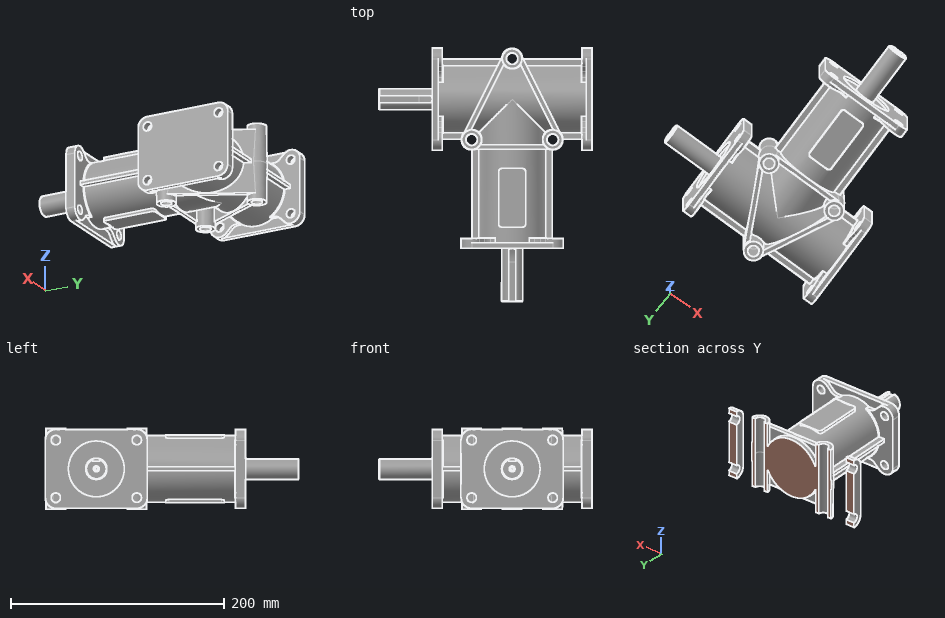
import cadquery as cq
import math


barrel_radius = 31.4
cross_reach = 75.0
leg_reach = 140.0
rib_half_width = 37.75
rib_thickness = 3.6

hole_half_width = 38.0
hole_half_height = 27.0
corner_radius = 10.0
flange_width = 2 * (hole_half_width + corner_radius)
flange_height = 2 * (hole_half_height + corner_radius)
flange_thickness = 9.5
relieved_thickness = 5.5
relief_fillet = 8.0
bolt_hole_diameter = 8.8
collar_radius = 32.0
collar_thickness = 10.2
cover_diameter = 52.4
cover_depth = 2.5

shaft_diameter = 20.0
shaft_length = 50.0
shaft_chamfer = 0.75
keyway_width = 6.5
keyway_depth = 3.0
keyway_length = 37.5
center_hole_diameter = 5.5
center_drill_diameter = 2.8
center_drill_depth = 6.0
center_cone_angle = 60.0

boss_offset = 38.0
boss_centers = [(0, boss_offset), (boss_offset, -boss_offset), (-boss_offset, -boss_offset)]
boss_height = 76.0
boss_end_radius = 9.2
boss_middle_radius = 9.7
boss_hole_diameter = 10.5
web_thickness = 4.6
web_height = 64.0

plate_width = 25.4
plate_length = 55.0
plate_center_y = -92.5
plate_height = 64.0
plate_corner_radius = 3.0

left_arm = cq.Plane(origin=(-cross_reach, 0, 0), xDir=(0, -1, 0), normal=(-1, 0, 0))
right_arm = cq.Plane(origin=(cross_reach, 0, 0), xDir=(0, 1, 0), normal=(1, 0, 0))
leg_arm = cq.Plane(origin=(0, -leg_reach, 0), xDir=(1, 0, 0), normal=(0, -1, 0))


def make_barrels():
    """Cross and leg barrels with flat ribs at mid height, ending at the relieved flange backs."""
    cross_length = 2 * (cross_reach - relieved_thickness)
    leg_length = leg_reach - relieved_thickness
    cross = cq.Workplane("YZ").circle(barrel_radius).extrude(cross_length / 2, both=True)
    leg = cq.Workplane("XZ").circle(barrel_radius).extrude(leg_length)
    cross_rib = cq.Workplane().box(cross_length, 2 * rib_half_width, rib_thickness)
    leg_rib = cq.Workplane().box(2 * rib_half_width, leg_length, rib_thickness)
    leg_rib = leg_rib.translate((0, -leg_length / 2, 0))
    return cross.union(leg).union(cross_rib).union(leg_rib)


def make_relief():
    """Cutter for the shallow area between the two upper bolt pads of a flange.

    From each pad's round the wall falls at 45 degrees and a fillet turns it level
    at the height of the bolt holes.
    """
    diagonal = math.sqrt(0.5)
    pad_x = hole_half_width - corner_radius * diagonal
    pad_y = hole_half_height + corner_radius * diagonal
    crown_x = hole_half_width - corner_radius * math.sin(math.pi / 8)
    crown_y = hole_half_height + corner_radius * math.cos(math.pi / 8)
    foot_x = pad_x - (pad_y - hole_half_height)
    top = flange_height / 2
    fillet_run = relief_fillet * math.tan(math.pi / 8)
    start_x = foot_x + fillet_run * diagonal
    start_y = hole_half_height + fillet_run * diagonal
    end_x = foot_x - fillet_run
    middle_x = end_x + relief_fillet * math.sin(math.pi / 8)
    middle_y = hole_half_height + relief_fillet * (1 - math.cos(math.pi / 8))
    return (
        cq.Workplane(origin=(0, 0, -collar_thickness))
        .moveTo(hole_half_width, top)
        .threePointArc((crown_x, crown_y), (pad_x, pad_y))
        .lineTo(start_x, start_y)
        .threePointArc((middle_x, middle_y), (end_x, hole_half_height))
        .lineTo(-end_x, hole_half_height)
        .threePointArc((-middle_x, middle_y), (-start_x, start_y))
        .lineTo(-pad_x, pad_y)
        .threePointArc((-crown_x, crown_y), (-hole_half_width, top))
        .close()
        .extrude(collar_thickness - relieved_thickness)
    )


def make_flange():
    """Flange with its outer face on local XY and the outward direction along +Z."""
    body = (
        cq.Workplane()
        .rect(flange_width, flange_height)
        .extrude(-flange_thickness)
        .edges("|Z")
        .fillet(corner_radius)
    )
    collar = cq.Workplane().circle(collar_radius).extrude(-collar_thickness)
    relief = make_relief()
    bolt_holes = (
        cq.Workplane()
        .rect(2 * hole_half_width, 2 * hole_half_height, forConstruction=True)
        .vertices()
        .circle(bolt_hole_diameter / 2)
        .extrude(-flange_thickness)
    )
    return body.union(collar).cut(relief).cut(relief.mirror("XZ")).cut(bolt_holes)


def make_keyway():
    """Keyway cutter whose floor curves up to the shaft surface at the flange face."""
    shaft_radius = shaft_diameter / 2
    floor = shaft_radius - keyway_depth
    runout_length = shaft_length - keyway_length
    runout_radius = (runout_length**2 + keyway_depth**2) / (2 * keyway_depth)
    half_sweep = math.asin(runout_length / runout_radius) / 2
    middle_z = runout_length - runout_radius * math.sin(half_sweep)
    middle_y = floor + runout_radius * (1 - math.cos(half_sweep))
    return (
        cq.Workplane("YZ")
        .moveTo(shaft_radius, 0)
        .threePointArc((middle_y, middle_z), (floor, runout_length))
        .lineTo(floor, shaft_length)
        .lineTo(shaft_radius, shaft_length)
        .close()
        .extrude(keyway_width / 2, both=True)
    )


def make_shaft():
    """Keyed shaft along local +Z, rooted at the bottom of the cover recess."""
    cone_step = (center_hole_diameter - center_drill_diameter) / 2
    cone_depth = cone_step / math.tan(math.radians(center_cone_angle / 2))
    center_hole = (
        cq.Workplane("XZ")
        .moveTo(0, shaft_length)
        .lineTo(center_hole_diameter / 2, shaft_length)
        .lineTo(center_drill_diameter / 2, shaft_length - cone_depth)
        .lineTo(center_drill_diameter / 2, shaft_length - center_drill_depth)
        .lineTo(0, shaft_length - center_drill_depth)
        .close()
        .revolve(360, (0, 0), (0, 1))
    )
    return (
        cq.Workplane(origin=(0, 0, -cover_depth))
        .circle(shaft_diameter / 2)
        .extrude(shaft_length + cover_depth)
        .faces(">Z")
        .chamfer(shaft_chamfer)
        .cut(make_keyway())
        .cut(center_hole)
    )


def make_boss(center):
    """Boss widest at mid height, tapering towards both ends."""
    x, y = center
    half_height = boss_height / 2
    return (
        cq.Workplane("XZ")
        .lineTo(boss_middle_radius, 0)
        .lineTo(boss_end_radius, half_height)
        .lineTo(0, half_height)
        .close()
        .revolve(360, (0, 0), (0, 1))
        .mirror("XY", union=True)
        .translate((x, y, 0))
    )


def make_web(start, end):
    """Upright web between two bosses, flush with their outer tangent."""
    run_x = end[0] - start[0]
    run_y = end[1] - start[1]
    length = math.hypot(run_x, run_y)
    outward_shift = boss_end_radius - web_thickness / 2
    return (
        cq.Workplane()
        .box(length, web_thickness, web_height)
        .translate((length / 2, outward_shift, 0))
        .rotate((0, 0, 0), (0, 0, 1), math.degrees(math.atan2(run_y, run_x)))
        .translate((start[0], start[1], 0))
    )


def make_name_plates():
    """Flat raised pads above and below the leg barrel."""
    return (
        cq.Workplane()
        .box(plate_width, plate_length, plate_height)
        .edges("|Z")
        .fillet(plate_corner_radius)
        .translate((0, plate_center_y, 0))
    )


def place(local_part, arm):
    """Move a part built in local axes to the end of an arm."""
    return local_part.val().moved(cq.Location(arm))


result = make_barrels().union(make_name_plates())

for index, boss_center in enumerate(boss_centers):
    next_center = boss_centers[(index + 1) % len(boss_centers)]
    result = result.union(make_boss(boss_center)).union(make_web(boss_center, next_center))

boss_holes = (
    cq.Workplane()
    .pushPoints(boss_centers)
    .circle(boss_hole_diameter / 2)
    .extrude(boss_height / 2, both=True)
)
result = result.cut(boss_holes)

flange = make_flange()
for arm in (left_arm, right_arm, leg_arm):
    result = result.union(place(flange, arm))

cover_recess = cq.Workplane().circle(cover_diameter / 2).extrude(-cover_depth)
shaft = make_shaft()
for arm in (left_arm, leg_arm):
    result = result.cut(place(cover_recess, arm)).union(place(shaft, arm))